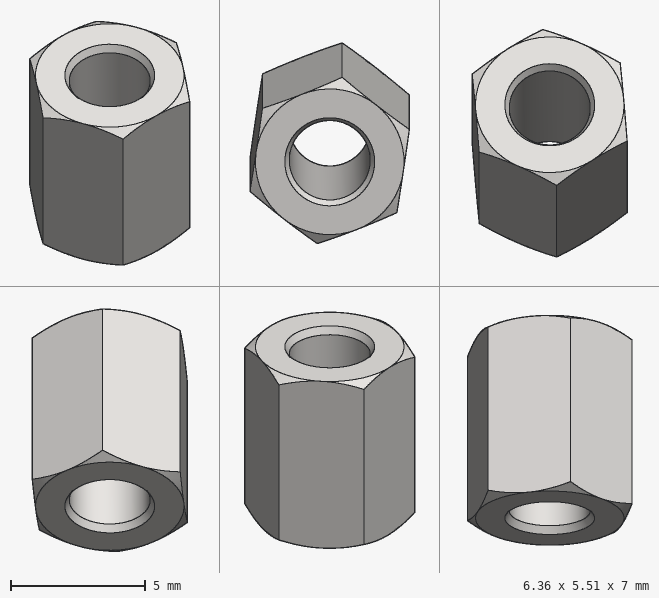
import cadquery as cq
import math

length = 7.0
across_flats = 5.51
across_corners = across_flats / math.cos(math.radians(30))

bore_diameter = 3.0
countersink_diameter = 3.33
countersink_depth = 0.29

corner_chamfer_angle = 30.0
corner_chamfer_width = (across_corners - across_flats) / 2
corner_chamfer_height = corner_chamfer_width * math.tan(math.radians(corner_chamfer_angle))


def revolved(profile_points):
    """Revolve a closed (radius, height) profile about the Z axis."""
    return cq.Workplane("XZ").polyline(profile_points).close().revolve(360, (0, 0), (0, 1))


def chamfer_envelope():
    """Round envelope whose coned ends cut back the hexagon corners."""
    face_radius = across_flats / 2
    corner_radius = across_corners / 2
    return revolved([
        (0, 0),
        (face_radius, 0),
        (corner_radius, corner_chamfer_height),
        (corner_radius, length - corner_chamfer_height),
        (face_radius, length),
        (0, length),
    ])


def countersunk_bore():
    """Solid filling the through bore and both countersinks."""
    bore_radius = bore_diameter / 2
    mouth_radius = countersink_diameter / 2
    return revolved([
        (0, 0),
        (mouth_radius, 0),
        (bore_radius, countersink_depth),
        (bore_radius, length - countersink_depth),
        (mouth_radius, length),
        (0, length),
    ])


hexagon = cq.Workplane("XY").polygon(6, across_corners).extrude(length)
result = hexagon.intersect(chamfer_envelope()).cut(countersunk_bore())